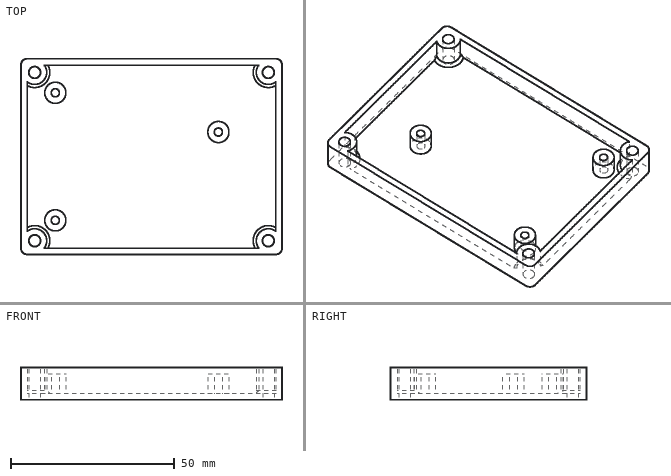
import cadquery as cq

length = 80.0
width = 60.0
height = 10.0
wall = 2.0
floor = 2.0
corner_radius = 2.0

boss_inset = 4.2
boss_radius = 3.7
boss_hole_diameter = 3.5
foot_flare = 1.0

standoff_diameter = 6.5
standoff_bore = 2.5
standoff_height = 6.0
standoff_left_x = -29.4
standoff_pair_y = 19.5
standoff_right_x = 20.5
standoff_right_y = 7.5

boss_spacing_x = length - 2 * boss_inset
boss_spacing_y = width - 2 * boss_inset
standoff_places = [
    (standoff_left_x, standoff_pair_y),
    (standoff_left_x, -standoff_pair_y),
    (standoff_right_x, standoff_right_y),
]


def make_outer_block():
    """Solid block with rounded upright corners, its base at Z = 0."""
    block = cq.Workplane("XY").box(length, width, height, centered=(True, True, False))
    return block.edges("|Z").fillet(corner_radius)


def make_boss():
    """Boss on the floor, with a conical flare at its foot, centred on the Z axis."""
    foot_radius = boss_radius + foot_flare
    return (
        cq.Workplane("XZ")
        .moveTo(0, floor)
        .lineTo(foot_radius, floor)
        .lineTo(boss_radius, floor + foot_flare)
        .lineTo(boss_radius, height)
        .lineTo(0, height)
        .close()
        .revolve(360, (0, 0, 0), (0, 1, 0))
    )


def make_tray():
    """Open tray with a drilled boss in each corner."""
    outer = make_outer_block()
    cavity = (
        cq.Workplane("XY")
        .workplane(offset=floor)
        .rect(length - 2 * wall, width - 2 * wall)
        .extrude(height - floor)
    )
    boss = make_boss()
    for side_x in (-1, 1):
        for side_y in (-1, 1):
            place = (side_x * boss_spacing_x / 2, side_y * boss_spacing_y / 2, 0)
            cavity = cavity.cut(boss.translate(place))
    holes = (
        cq.Workplane("XY")
        .rect(boss_spacing_x, boss_spacing_y, forConstruction=True)
        .vertices()
        .circle(boss_hole_diameter / 2)
        .extrude(height)
    )
    return outer.cut(cavity).cut(holes)


def make_standoff(x, y):
    """Hollow cylindrical standoff standing on the tray floor."""
    return (
        cq.Workplane("XY", origin=(x, y, floor))
        .circle(standoff_diameter / 2)
        .circle(standoff_bore / 2)
        .extrude(standoff_height)
    )


tray = make_tray()
standoffs = [make_standoff(x, y) for x, y in standoff_places]

result = cq.Compound.makeCompound([tray.solids().val(), *[standoff.val() for standoff in standoffs]])